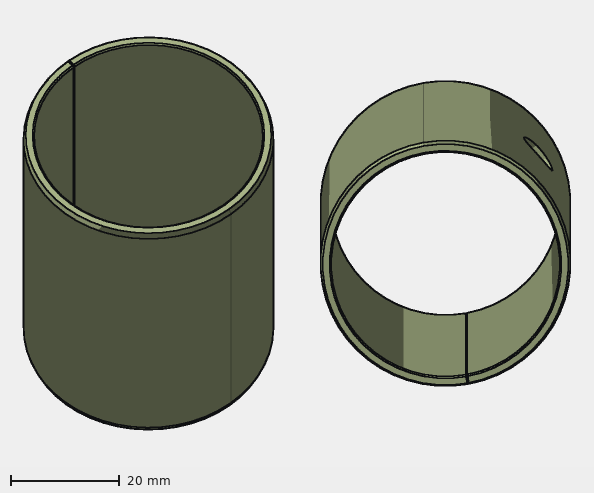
import cadquery as cq

length = 60.0
outer_diameter = 46.0
wall = 2.0
inner_diameter = outer_diameter - 2 * wall

outer_chamfer_height = 1.2
outer_chamfer_depth = 0.4
inner_chamfer = 0.3

slit_width = 0.3

hole_diameter = 8.0
hole_angle = 59.0


def make_sleeve():
    """Revolve the wall section, with both ends chamfered, about Z."""
    outer_radius = outer_diameter / 2
    inner_radius = inner_diameter / 2
    half_length = length / 2
    section = [
        (inner_radius, half_length - inner_chamfer),
        (inner_radius + inner_chamfer, half_length),
        (outer_radius - outer_chamfer_depth, half_length),
        (outer_radius, half_length - outer_chamfer_height),
        (outer_radius, -half_length + outer_chamfer_height),
        (outer_radius - outer_chamfer_depth, -half_length),
        (inner_radius + inner_chamfer, -half_length),
        (inner_radius, -half_length + inner_chamfer),
    ]
    return cq.Workplane("XZ").polyline(section).close().revolve(360, (0, 0), (0, 1))


def make_slit():
    """Thin full-length cutter through the wall on the -X side only."""
    cutter = cq.Workplane("XY").box(outer_diameter, slit_width, length)
    return cutter.translate((-outer_diameter / 2, slit_width / 2, 0))


def make_oil_hole():
    """Radial cutter running from the axis out through one side of the wall."""
    cutter = cq.Workplane("YZ").circle(hole_diameter / 2).extrude(outer_diameter)
    return cutter.rotate((0, 0, 0), (0, 0, 1), hole_angle)


result = make_sleeve().cut(make_slit()).cut(make_oil_hole())